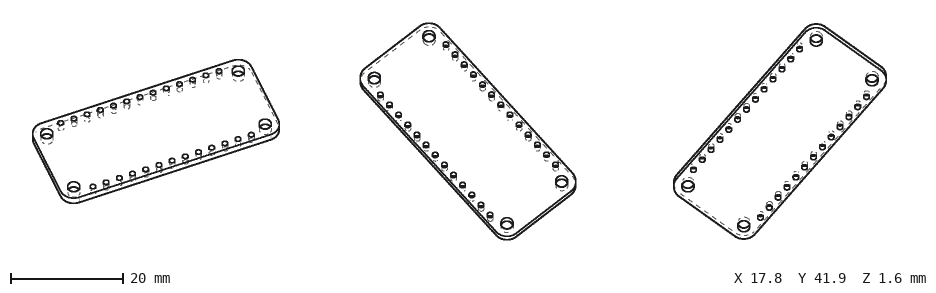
import cadquery as cq

length = 41.9
width = 17.75
thickness = 1.6

pins_per_row = 13
row_length = 30.45
pin_diameter = 1.0
pitch = row_length / (pins_per_row - 1)
row_spacing = width - pitch

corner_radius = pitch
mount_diameter = 2.2
mount_spacing_x = width - 2 * corner_radius
mount_spacing_y = length - 2 * corner_radius


def make_board():
    board = cq.Workplane("XY").box(width, length, thickness)
    return board.edges("|Z").fillet(corner_radius)


def drill_grid(body, spacing_x, spacing_y, count_y, diameter):
    """Drill two centred columns of through holes."""
    return (
        body.faces(">Z")
        .workplane(origin=(0, 0, 0))
        .rarray(spacing_x, spacing_y, 2, count_y)
        .hole(diameter)
    )


board = make_board()
board = drill_grid(board, mount_spacing_x, mount_spacing_y, 2, mount_diameter)
result = drill_grid(board, row_spacing, pitch, pins_per_row, pin_diameter)